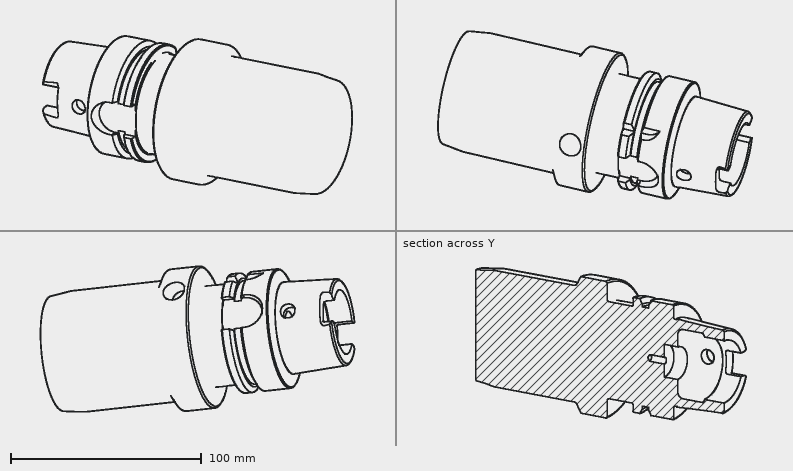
import cadquery as cq
import math

total_length = 157.0
shank_tip_radius = 23.0
shank_root_radius = 24.3
shank_tip_chamfer = 1.0
shank_end_x = 30.0
relief_radius = 23.9
flange_start_x = 31.9
flange_end_x = 57.8
flange_radius = 31.5
flange_chamfer = 0.6
neck_radius = 26.7
collar_start_x = 73.8
collar_end_x = 90.6
collar_radius = 37.5
collar_chamfer = 1.0
collar_slope_angle = math.radians(60)
body_radius = 32.0
nose_start_x = 145.2
nose_end_radius = 30.5
nose_rounding = 0.8

groove_start_x = 47.9
groove_end_x = 51.7
groove_radius = 27.3
groove_flank_radius = 28.7
groove_flank_run = 1.5

relief_flange_fillet = 1.1
flange_neck_fillet = 0.6
neck_collar_fillet = 1.1
collar_edge_fillet = 1.0
collar_body_fillet = 1.7

mouth_radius = 17.0
mouth_depth = 12.4
cavity_radius = 18.8
cavity_depth = 29.2
cavity_flare_angle = math.radians(60)
cavity_floor_fillet = 3.1
tube_bore_radius = 8.8
tube_bore_depth = 37.7
centre_hole_radius = 1.7
centre_hole_depth = 47.1
drill_half_angle = math.radians(59)

cross_hole_x = 23.1
cross_hole_radius = 4.0

tip_slot_half_width = 6.5
tip_slot_rounding = 2.7
tip_slot_flat_y = 21.0
tip_slot_floor_fillet = 1.7
front_tip_slot_depth = 10.0
rear_tip_slot_depth = 5.8

pocket_radius = 9.1
pocket_floor_y = 26.2
pocket_centre_x = 46.2
pocket_end_x = 58.4
pocket_wall_tilt = 19.5

notch_offset = 20.0
notch_floor_start_x = 44.9
notch_cutter_radius = 8.0

screw_hole_x = 82.3
screw_hole_radius = 5.8
screw_hole_bottom_y = 18.8
screw_hole_z = 14.0

clearance = 7.8


def revolve_about_x(profile):
    return profile.close().revolve(360, (0, 0, 0), (1, 0, 0))


def ring_edges(solid, x, radius):
    """Circular edges centred on the X axis at the given place."""
    size = 0.02
    box = cq.selectors.BoxSelector(
        (x - size, -radius - size, -radius - size), (x + size, radius + size, radius + size)
    )
    rings = [
        edge for edge in solid.edges(box).vals()
        if edge.geomType() == "CIRCLE" and abs(edge.radius() - radius) < size
    ]
    return solid.newObject(rings)


def turned_body():
    slope_end_x = collar_end_x + (collar_radius - body_radius) / math.tan(collar_slope_angle)
    body = revolve_about_x(
        cq.Workplane("XY")
        .moveTo(0, 0)
        .lineTo(0, shank_tip_radius - shank_tip_chamfer)
        .lineTo(shank_tip_chamfer, shank_tip_radius)
        .lineTo(shank_end_x, shank_root_radius)
        .lineTo(shank_end_x, relief_radius)
        .lineTo(flange_start_x, relief_radius)
        .lineTo(flange_start_x, flange_radius - flange_chamfer)
        .lineTo(flange_start_x + flange_chamfer, flange_radius)
        .lineTo(groove_start_x - groove_flank_run, flange_radius)
        .lineTo(groove_start_x, groove_flank_radius)
        .lineTo(groove_start_x, groove_radius)
        .lineTo(groove_end_x, groove_radius)
        .lineTo(groove_end_x, groove_flank_radius)
        .lineTo(groove_end_x + groove_flank_run, flange_radius)
        .lineTo(flange_end_x - flange_chamfer, flange_radius)
        .lineTo(flange_end_x, flange_radius - flange_chamfer)
        .lineTo(flange_end_x, neck_radius)
        .lineTo(collar_start_x, neck_radius)
        .lineTo(collar_start_x, collar_radius - collar_chamfer)
        .lineTo(collar_start_x + collar_chamfer, collar_radius)
        .lineTo(collar_end_x, collar_radius)
        .lineTo(slope_end_x, body_radius)
        .lineTo(nose_start_x, body_radius)
        .lineTo(total_length, nose_end_radius)
        .lineTo(total_length, 0)
    )
    body = ring_edges(body, flange_start_x, relief_radius).fillet(relief_flange_fillet)
    body = ring_edges(body, flange_end_x, neck_radius).fillet(flange_neck_fillet)
    body = ring_edges(body, collar_start_x, neck_radius).fillet(neck_collar_fillet)
    body = ring_edges(body, collar_end_x, collar_radius).fillet(collar_edge_fillet)
    body = ring_edges(body, slope_end_x, body_radius).fillet(collar_body_fillet)
    return ring_edges(body, total_length, nose_end_radius).fillet(nose_rounding)


def shank_bore():
    flare_length = (cavity_radius - mouth_radius) / math.tan(cavity_flare_angle)
    drill_tip_length = centre_hole_radius / math.tan(drill_half_angle)
    bore = revolve_about_x(
        cq.Workplane("XY")
        .moveTo(0, 0)
        .lineTo(0, mouth_radius)
        .lineTo(mouth_depth, mouth_radius)
        .lineTo(mouth_depth + flare_length, cavity_radius)
        .lineTo(cavity_depth, cavity_radius)
        .lineTo(cavity_depth, tube_bore_radius)
        .lineTo(tube_bore_depth, tube_bore_radius)
        .lineTo(tube_bore_depth, centre_hole_radius)
        .lineTo(centre_hole_depth, centre_hole_radius)
        .lineTo(centre_hole_depth + drill_tip_length, 0)
    )
    return ring_edges(bore, cavity_depth, cavity_radius).fillet(cavity_floor_fillet)


def cross_hole():
    return (
        cq.Workplane("XZ")
        .center(cross_hole_x, 0)
        .circle(cross_hole_radius)
        .extrude(shank_root_radius + clearance, both=True)
    )


def tip_slot(side, depth):
    """Slot in the tip wall on the +Y (side = 1) or -Y (side = -1) side, with rounded outer edges."""
    flare_start_y = tip_slot_flat_y - tip_slot_rounding
    flare_half_width = tip_slot_half_width + tip_slot_rounding
    outer_half_width = flare_half_width + clearance
    outer_y = tip_slot_flat_y + clearance
    arc_reach = tip_slot_rounding * math.sqrt(0.5)
    arc_middle_y = flare_start_y + arc_reach
    arc_middle_z = flare_half_width - arc_reach
    slot = (
        cq.Workplane("YZ")
        .moveTo(0, -tip_slot_half_width)
        .lineTo(side * flare_start_y, -tip_slot_half_width)
        .threePointArc((side * arc_middle_y, -arc_middle_z), (side * tip_slot_flat_y, -flare_half_width))
        .lineTo(side * tip_slot_flat_y, -outer_half_width)
        .lineTo(side * outer_y, -outer_half_width)
        .lineTo(side * outer_y, outer_half_width)
        .lineTo(side * tip_slot_flat_y, outer_half_width)
        .lineTo(side * tip_slot_flat_y, flare_half_width)
        .threePointArc((side * arc_middle_y, arc_middle_z), (side * flare_start_y, tip_slot_half_width))
        .lineTo(0, tip_slot_half_width)
        .close()
        .extrude(depth)
    )
    return slot.faces(">X").edges().fillet(tip_slot_floor_fillet)


def drive_pocket():
    """Flat-bottomed pocket on the -Y side whose rounded end leans outward toward the tip."""
    height = flange_radius - pocket_floor_y + clearance
    length = pocket_end_x - pocket_centre_x + pocket_radius + height
    leaning_end = (
        cq.Workplane("XZ")
        .circle(pocket_radius)
        .extrude(3 * height, both=True)
        .rotate((0, 0, 0), (0, 0, 1), -pocket_wall_tilt)
        .translate((pocket_centre_x, -pocket_floor_y, 0))
    )
    straight = (
        cq.Workplane("XY")
        .box(pocket_end_x - pocket_centre_x, height, 2 * pocket_radius, centered=(False, False, True))
        .translate((pocket_centre_x, -pocket_floor_y - height, 0))
    )
    bounds = (
        cq.Workplane("XY")
        .box(length, height, 2 * pocket_radius, centered=(False, False, True))
        .translate((pocket_end_x - length, -pocket_floor_y - height, 0))
    )
    return straight.union(leaning_end.intersect(bounds))


def index_notch():
    """Corner notch on the +Y +Z side, run out by the round of a disc cutter."""
    notch_top = notch_offset + notch_cutter_radius
    return (
        cq.Workplane("XZ", origin=(0, notch_offset, 0))
        .moveTo(flange_end_x, notch_offset)
        .lineTo(notch_floor_start_x, notch_offset)
        .radiusArc((notch_floor_start_x - notch_cutter_radius, notch_top), notch_cutter_radius)
        .lineTo(flange_end_x, notch_top)
        .close()
        .extrude(-notch_cutter_radius)
    )


def screw_hole():
    return (
        cq.Workplane("XZ", origin=(screw_hole_x, screw_hole_bottom_y, screw_hole_z))
        .circle(screw_hole_radius)
        .extrude(screw_hole_bottom_y - collar_radius - clearance)
    )


pocket = drive_pocket()

result = (
    turned_body()
    .cut(shank_bore())
    .cut(cross_hole())
    .cut(tip_slot(-1, front_tip_slot_depth))
    .cut(tip_slot(1, rear_tip_slot_depth))
    .cut(pocket)
    .cut(pocket.mirror("XZ"))
    .cut(index_notch())
    .cut(screw_hole())
)